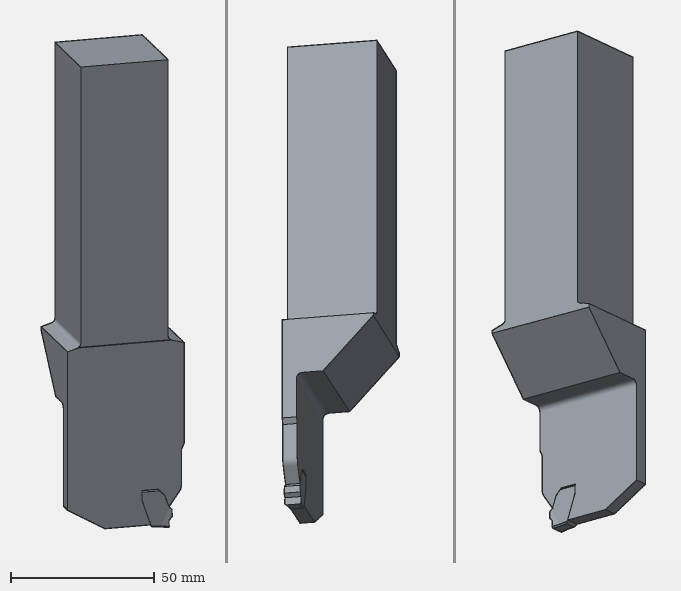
import cadquery as cq
import math


total_length = 170.0
shank_size = 31.8
shank_start_y = 5.0
face_lean = 0.18

head_width = 42.5
shoulder_z = 68.1
shoulder_angle = 16.0
shoulder_fillet = 1.5
ramp_top_z = 65.8
ramp_bottom_z = 46.65
ramp_bottom_x = 17.8
web_fillet = 2.0

insert_width = 6.08
side_clearance = 0.44
insert_right_x = 32.88
insert_left_x = insert_right_x - insert_width
blade_right_x = insert_right_x - side_clearance
blade_left_x = insert_left_x + side_clearance
insert_edge_chamfer = 0.55

blade_bottom_z = 1.5
heel_angle = 30.0
heel_length = 13.6
heel_rise = heel_length * math.tan(math.radians(heel_angle))
relief_depth = 1.0
relief_top_z = 30.3
relief_bottom_z = 28.2
nose_top = (head_width - relief_depth, 14.0)
nose_fillet = 4.0

tip = (36.87, 0.0)
bottom_end = (31.0, 0.5)
seat_bottom = (30.25, 1.6)
seat_back = (27.1, 10.6)
insert_top_z = 14.2
seat_top_back = (seat_back[0], insert_top_z)
seat_top_front = (33.0, insert_top_z)
seat_front_bend = (35.3, 11.9)
seat_mouth = (36.95, 7.55)
chip_lip_y = 38.0
chip_lip_top_z = 6.5
chip_lip_bottom_z = 4.0
rake_start = (tip[0], 2.7)
flare_top = (36.87, 6.6)
flare_bottom = (34.3, 1.2)


def lean_x(y):
    """X of the leaning -X face at a given Y."""
    return -face_lean * y / head_width


def plate(outline, x_start, x_end):
    """Plate with a Y-Z outline, between two X positions."""
    profile = cq.Workplane("YZ", origin=(x_start, 0, 0)).polyline(outline).close()
    return profile.extrude(x_end - x_start)


def leaning_block(y_start, y_end, z_start, z_end, x_right):
    """Rectangular block whose -X face follows the lean of the holder."""
    corners = [(lean_x(y_start), y_start), (x_right, y_start), (x_right, y_end), (lean_x(y_end), y_end)]
    return cq.Workplane("XY", origin=(0, 0, z_start)).polyline(corners).close().extrude(z_end - z_start)


def make_shank():
    """Square shank above the shoulders."""
    return leaning_block(shank_start_y, shank_start_y + shank_size, shoulder_z, total_length, shank_size)


def shoulder_envelope():
    """Head envelope: fillets off the shank, sloped shoulders, straight outer faces."""
    slope = math.radians(shoulder_angle)
    shank_end_y = shank_start_y + shank_size
    fillet_reach = shoulder_fillet * (1 - math.sin(slope))
    fillet_top_z = shoulder_z + shoulder_fillet * math.cos(slope)
    front_edge_z = shoulder_z - (shank_start_y - fillet_reach) * math.tan(slope)
    back_edge_z = shoulder_z - (head_width - shank_end_y - fillet_reach) * math.tan(slope)
    return (
        cq.Workplane("YZ", origin=(-face_lean, 0, 0))
        .moveTo(0, 0)
        .lineTo(0, front_edge_z)
        .lineTo(shank_start_y - fillet_reach, shoulder_z)
        .radiusArc((shank_start_y, fillet_top_z), -shoulder_fillet)
        .lineTo(shank_end_y, fillet_top_z)
        .radiusArc((shank_end_y + fillet_reach, shoulder_z), -shoulder_fillet)
        .lineTo(head_width, back_edge_z)
        .lineTo(head_width, 0)
        .close()
        .extrude(blade_right_x + face_lean)
    )


def make_head():
    """Ramped head running down into the thin blade."""
    fillet_top_z = shoulder_z + shoulder_fillet
    envelope = leaning_block(0, head_width, 0, shoulder_z, blade_right_x)
    fillet_zone = leaning_block(0, head_width, shoulder_z, fillet_top_z, shank_size)
    shouldered = envelope.union(fillet_zone).intersect(shoulder_envelope())
    below_ramp = (
        cq.Workplane("XZ")
        .polyline([
            (-face_lean, 0),
            (-face_lean, ramp_top_z),
            (ramp_bottom_x, ramp_bottom_z),
            (blade_left_x, ramp_bottom_z),
            (blade_left_x, 0),
        ])
        .close()
        .extrude(-head_width)
        .edges(cq.selectors.NearestToPointSelector((blade_left_x, head_width / 2, ramp_bottom_z)))
        .fillet(web_fillet)
    )
    return shouldered.cut(below_ramp)


def holder_outline():
    """Plate with the Y-Z outline of head and blade, kept inside the insert at the seat."""
    outline = plate(
        [
            (0, total_length),
            (0, blade_bottom_z + heel_rise),
            (heel_length, blade_bottom_z),
            (seat_bottom[0], blade_bottom_z),
            seat_mouth,
            nose_top,
            (nose_top[0], relief_bottom_z),
            (head_width, relief_top_z),
            (head_width, total_length),
        ],
        -face_lean,
        insert_right_x,
    )
    nose_edge = cq.selectors.NearestToPointSelector((blade_left_x / 2, *nose_top))
    return outline.edges(nose_edge).fillet(nose_fillet)


def insert_blank():
    """Full-width insert outline, which is also the shape of its seat."""
    return plate(
        [
            tip,
            bottom_end,
            seat_bottom,
            seat_back,
            seat_top_back,
            seat_top_front,
            seat_front_bend,
            seat_mouth,
            (chip_lip_y, chip_lip_top_z),
            (chip_lip_y, chip_lip_bottom_z),
            rake_start,
        ],
        insert_left_x,
        insert_right_x,
    )


def flare_cutter(side):
    """Material beside the insert body; side is +1 for the +X face and -1 for the -X face.

    Its face is flush with the blade behind the flare line and leans out to full width at the tip.
    """
    run_y = flare_top[0] - flare_bottom[0]
    run_z = flare_top[1] - flare_bottom[1]
    run = math.hypot(run_y, run_z)
    along = (run_y / run, run_z / run)
    tip_distance = (tip[0] - flare_bottom[0]) * along[1] - (tip[1] - flare_bottom[1]) * along[0]
    face_x = blade_right_x if side > 0 else blade_left_x
    section_plane = cq.Plane(
        origin=(face_x, *flare_bottom),
        xDir=(0, along[1], -along[0]),
        normal=(0, -side * along[0], -side * along[1]),
    )
    reach = insert_top_z
    return (
        cq.Workplane(section_plane)
        .polyline([
            (-reach, 0),
            (0, 0),
            (tip_distance, side_clearance),
            (-reach, side_clearance),
        ])
        .close()
        .extrude(reach, both=True)
    )


def make_insert():
    """Cutting insert with a flared tip and bevelled side edges on its top and clearance faces."""
    blank = insert_blank()
    for side in (-1, 1):
        blank = blank.cut(flare_cutter(side))
    clearance_middle = ((insert_left_x + insert_right_x) / 2, (tip[0] + bottom_end[0]) / 2, bottom_end[1] / 2)
    clearance_face = cq.selectors.NearestToPointSelector(clearance_middle)
    blank = blank.faces(clearance_face).edges("not(|X)").chamfer(insert_edge_chamfer)
    return blank.faces(">Z").edges("not(|X)").chamfer(insert_edge_chamfer)


def make_holder():
    """Shank, head and blade as one body with the insert seat cut out."""
    return make_shank().union(make_head()).intersect(holder_outline()).cut(insert_blank())


holder = make_holder()
insert = make_insert()
result = cq.Compound.makeCompound([holder.val(), insert.val()])